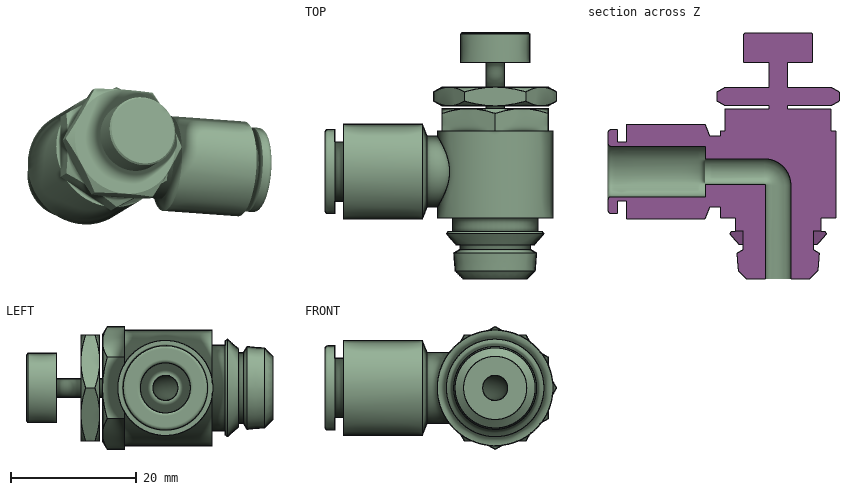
import cadquery as cq
import math


KNOB_TOP = 22.2
KNOB_BOTTOM = 17.4
NUT_TOP = 13.5
NUT_BOTTOM = 10.5
HEX_TOP = 10.05
HOUSING_TOP = 6.5
HOUSING_BOTTOM = -7.45
SHANK_BOTTOM = -9.55
NECK_BOTTOM = -12.45
THREAD_TOP = -13.05
THREAD_BOTTOM = -15.85
STUD_TIP = -17.2

KNOB_RADIUS = 5.55
KNOB_CHAMFER = 0.25
STEM_RADIUS = 1.5
HOUSING_RADIUS = 9.25
SHANK_RADIUS = 6.85
NECK_RADIUS = 5.65
THREAD_TOP_RADIUS = 6.63
THREAD_BOTTOM_RADIUS = 6.4
STUD_TIP_RADIUS = 5.05

ACROSS_FLATS = 17.0
ACROSS_CORNERS = ACROSS_FLATS / math.cos(math.radians(30))
HEX_CHAMFER_ANGLE = 30.0

SEAL_TOP = SHANK_BOTTOM
SEAL_RIM = -9.93
SEAL_BOTTOM = -11.7
SEAL_TOP_RADIUS = 7.5
SEAL_RIM_RADIUS = 7.8
SEAL_BOTTOM_RADIUS = 6.25

PORT_END = -27.205
COLLAR_BACK = -25.6
SLEEVE_START = -24.25
SLEEVE_END = -11.65
PORT_NECK_START = -10.9
COLLAR_RADIUS = 6.75
COLLAR_NECK_RADIUS = 4.75
SLEEVE_RADIUS = 7.6
PORT_NECK_RADIUS = 5.7
TUBE_RADIUS = 4.0
COLLAR_FILLET = 0.5

PASSAGE_RADIUS = 2.0
PASSAGE_BEND_RADIUS = 2.2


def turned_about_y(profile):
    """Revolve a closed list of (radius, y) points about the Y axis."""
    return cq.Workplane("XY").polyline(profile).close().revolve(360, (0, 0, 0), (0, 1, 0))


def turned_about_x(profile):
    """Revolve a closed list of (x, radius) points about the X axis."""
    return cq.Workplane("XY").polyline(profile).close().revolve(360, (0, 0, 0), (1, 0, 0))


def hexagon(bottom, top, corner_angle, chamfer_bottom):
    """Hexagon along Y with conical corner chamfers; corner_angle turns a corner away from +X."""
    corner = ACROSS_CORNERS / 2
    flat = ACROSS_FLATS / 2
    drop = (corner - flat) * math.tan(math.radians(HEX_CHAMFER_ANGLE))
    height = top - bottom
    prism = (
        cq.Workplane("XZ", origin=(0, top, 0))
        .polygon(6, ACROSS_CORNERS)
        .extrude(height)
        .rotate((0, 0, 0), (0, 1, 0), corner_angle)
    )
    envelope = [(0, top), (flat, top), (corner, top - drop)]
    if chamfer_bottom:
        envelope += [(corner, bottom + drop), (flat, bottom)]
    else:
        envelope += [(corner, bottom)]
    envelope += [(0, bottom)]
    return prism.intersect(turned_about_y(envelope))


def adjusting_knob():
    """Knob and the thin stem that carries it down into the body hexagon."""
    return turned_about_y([
        (0, KNOB_TOP),
        (KNOB_RADIUS - KNOB_CHAMFER, KNOB_TOP),
        (KNOB_RADIUS, KNOB_TOP - KNOB_CHAMFER),
        (KNOB_RADIUS, KNOB_BOTTOM),
        (STEM_RADIUS, KNOB_BOTTOM),
        (STEM_RADIUS, HOUSING_TOP),
        (0, HOUSING_TOP),
    ])


def housing_and_stud():
    """Round housing with the shank, neck and slightly tapered thread below it."""
    return turned_about_y([
        (0, HOUSING_TOP),
        (HOUSING_RADIUS, HOUSING_TOP),
        (HOUSING_RADIUS, HOUSING_BOTTOM),
        (SHANK_RADIUS, HOUSING_BOTTOM),
        (SHANK_RADIUS, SHANK_BOTTOM),
        (NECK_RADIUS, SHANK_BOTTOM),
        (NECK_RADIUS, NECK_BOTTOM),
        (THREAD_TOP_RADIUS, THREAD_TOP),
        (THREAD_BOTTOM_RADIUS, THREAD_BOTTOM),
        (STUD_TIP_RADIUS, STUD_TIP),
        (0, STUD_TIP),
    ])


def tube_port():
    """Push-in port: release collar, sleeve and a neck that runs into the housing."""
    port = turned_about_x([
        (PORT_END, 0),
        (PORT_END, COLLAR_RADIUS),
        (COLLAR_BACK, COLLAR_RADIUS),
        (COLLAR_BACK, COLLAR_NECK_RADIUS),
        (SLEEVE_START, COLLAR_NECK_RADIUS),
        (SLEEVE_START, SLEEVE_RADIUS),
        (SLEEVE_END, SLEEVE_RADIUS),
        (PORT_NECK_START, PORT_NECK_RADIUS),
        (0, PORT_NECK_RADIUS),
        (0, 0),
    ])
    tube_bore = (
        cq.Workplane("YZ", origin=(PORT_END, 0, 0))
        .circle(TUBE_RADIUS)
        .extrude(SLEEVE_END - PORT_END)
    )
    return port.cut(tube_bore).faces("<X").edges().fillet(COLLAR_FILLET)


def flow_passage():
    """Round passage from the tube bore, through a right-angle bend, to the stud tip."""
    path = (
        cq.Workplane("XY")
        .moveTo(SLEEVE_END, 0)
        .lineTo(-PASSAGE_BEND_RADIUS, 0)
        .radiusArc((0, -PASSAGE_BEND_RADIUS), PASSAGE_BEND_RADIUS)
        .lineTo(0, STUD_TIP)
    )
    return cq.Workplane("YZ", origin=(SLEEVE_END, 0, 0)).circle(PASSAGE_RADIUS).sweep(path)


def regulator_body():
    """Everything except the seal ring, joined and bored through."""
    body_hex = hexagon(HOUSING_TOP, HEX_TOP, 90, False)
    lock_nut = hexagon(NUT_BOTTOM, NUT_TOP, 0, True)
    return (
        housing_and_stud()
        .union(tube_port())
        .union(body_hex)
        .union(adjusting_knob())
        .union(lock_nut)
        .cut(flow_passage())
    )


def seal_ring():
    """Flared seal ring that sits on the stud neck against the shank."""
    return turned_about_y([
        (NECK_RADIUS, SEAL_TOP),
        (SEAL_TOP_RADIUS, SEAL_TOP),
        (SEAL_RIM_RADIUS, SEAL_RIM),
        (SEAL_BOTTOM_RADIUS, SEAL_BOTTOM),
        (NECK_RADIUS, SEAL_BOTTOM),
    ])


body = regulator_body()
seal = seal_ring()

result = cq.Compound.makeCompound([body.solids().val(), seal.val()])